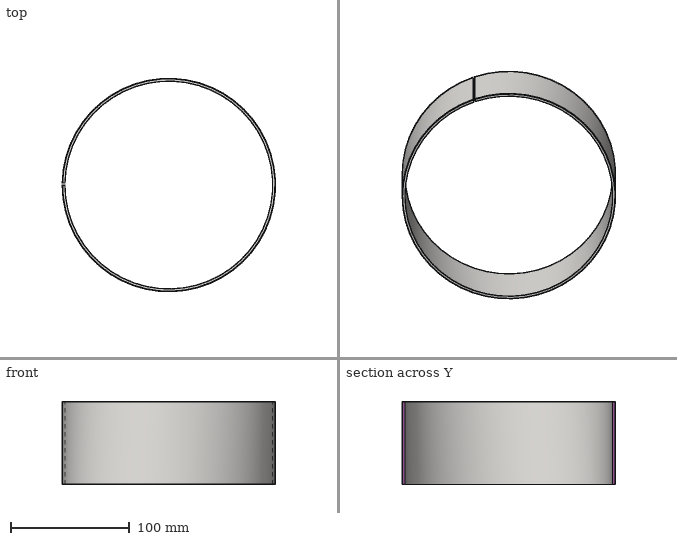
import cadquery as cq

outer_diameter = 180.0
wall_thickness = 2.5
height = 70.0
outer_chamfer = 0.5
inner_chamfer = 0.2
gap_angle = 1.0

outer_radius = outer_diameter / 2
inner_radius = outer_radius - wall_thickness
swept_angle = 360.0 - gap_angle

smallest = 0
largest = -1


def split_ring():
    """Thin band swept about the Z axis from -X, stopping short of a full turn."""
    wall_section = (
        cq.Workplane("XZ")
        .moveTo(-outer_radius, 0)
        .lineTo(-inner_radius, 0)
        .lineTo(-inner_radius, height)
        .lineTo(-outer_radius, height)
        .close()
    )
    return wall_section.revolve(swept_angle, (0, 0), (0, 1))


def chamfer_rims(ring, radius_rank, size):
    """Chamfer the top and bottom rims that share the radius of the given rank."""
    rims = ring.edges("%CIRCLE").edges(cq.selectors.RadiusNthSelector(radius_rank))
    return rims.chamfer(size)


band = split_ring()
band = chamfer_rims(band, largest, outer_chamfer)
result = chamfer_rims(band, smallest, inner_chamfer)